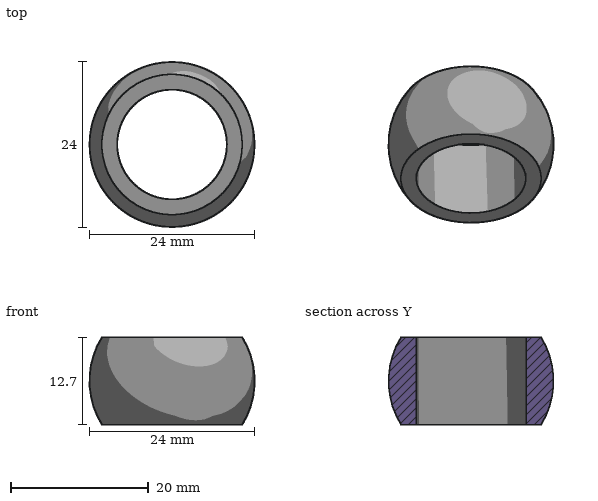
import cadquery as cq

ball_diameter = 24.0
width = 12.7
bore_diameter = 15.875


def truncated_ball():
    """Sphere centred on the origin, trimmed to the width by two flat faces."""
    ball = cq.Workplane("XY").sphere(ball_diameter / 2)
    width_slab = cq.Workplane("XY").box(ball_diameter, ball_diameter, width)
    return ball.intersect(width_slab)


def bore():
    """Cylinder as long as the width, centred on the Z axis."""
    return cq.Workplane("XY").cylinder(width, bore_diameter / 2)


result = truncated_ball().cut(bore())